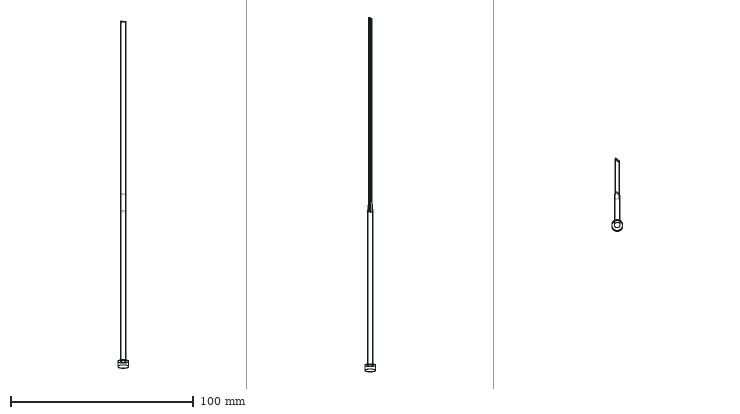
import cadquery as cq

total_length = 200.0
head_diameter = 6.0
head_height = 3.0
shank_diameter = 3.0
blade_length = 100.0
blade_width = 2.8
blade_thickness = 0.8
transition_length = 10.0

blade_start = total_length - blade_length
shank_top = blade_start - transition_length


def make_head():
    return cq.Workplane("XY").circle(head_diameter / 2).extrude(head_height)


def make_shank():
    return cq.Workplane("XY").circle(shank_diameter / 2).extrude(shank_top)


def make_transition():
    """Ruled loft from the round shank to the flat blade section."""
    return (
        cq.Workplane("XY", origin=(0, 0, shank_top))
        .circle(shank_diameter / 2)
        .workplane(offset=transition_length)
        .rect(blade_width, blade_thickness)
        .loft(ruled=True)
    )


def make_blade():
    return (
        cq.Workplane("XY", origin=(0, 0, blade_start))
        .rect(blade_width, blade_thickness)
        .extrude(blade_length)
    )


result = make_head().union(make_shank()).union(make_transition()).union(make_blade())